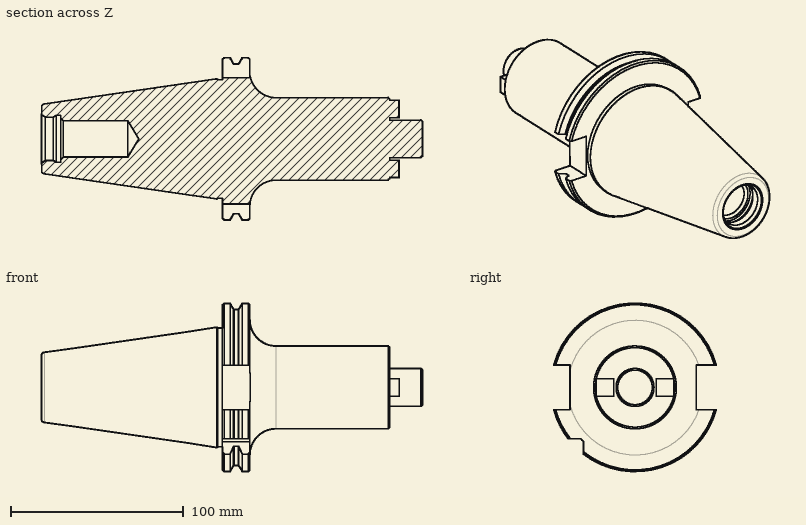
import cadquery as cq
import math


GAUGE_RADIUS = 69.85 / 2
TAPER_LENGTH = 101.6
TAPER_SLOPE = 7 / 48
TIP_RADIUS = GAUGE_RADIUS - TAPER_SLOPE * TAPER_LENGTH
TIP_FILLET = 2.0

NECK_RADIUS = 34.5
NECK_STEP = 0.5

FLANGE_START = 3.2
FLANGE_END = 19.1
FLANGE_RADIUS = 97.5 / 2
FLANGE_CHAMFER = 1.0
GROOVE_CENTER = 11.1
GROOVE_OPENING = 7.0
GROOVE_DEPTH = 3.5
GROOVE_FLANK_ANGLE = 30
GROOVE_FILLET = 0.5

SLOT_WIDTH = 25.7
SLOT_DEEP_FLOOR = 35.5
SLOT_SHALLOW_FLOOR = 37.7
NOTCH_OFFSET = 29.8
NOTCH_CHAMFER = 1.6

BODY_RADIUS = 24.0
BODY_FILLET = 15.0
BODY_END = 100.0
BODY_CHAMFER = 1.0
PILOT_RADIUS = 11.0
PILOT_LENGTH = 19.0
PILOT_CHAMFER = 1.0
KEY_WIDTH = 10.0
KEY_HEIGHT = 5.4
KEY_INNER = 12.2
KEY_OUTER = 22.4

MOUTH_RADIUS = 14.3
PROTECTED_CENTER_RADIUS = 13.7
PROTECTION_ANGLE = 120
CENTER_ANGLE = 60
BORE_RADIUS = 12.5
BORE_END = 7.0
RELIEF_RADIUS = 13.5
RELIEF_FLARE_ANGLE = 30
RELIEF_END = 11.2
THREAD_RADIUS = 12.0
THREAD_CHAMFER_ANGLE = 90
CORE_RADIUS = 10.4
CORE_END = 50.0
DRILL_POINT_ANGLE = 118


def revolve_about_x(profile):
    return profile.close().revolve(360, (0, 0, 0), (1, 0, 0))


def make_turned_body():
    pilot_end = BODY_END + PILOT_LENGTH
    diagonal = BODY_FILLET * math.sqrt(0.5)
    fillet_x = FLANGE_END + BODY_FILLET
    fillet_r = BODY_RADIUS + BODY_FILLET
    profile = (
        cq.Workplane("XY")
        .moveTo(-TAPER_LENGTH, 0)
        .lineTo(-TAPER_LENGTH, TIP_RADIUS)
        .lineTo(0, GAUGE_RADIUS)
        .lineTo(NECK_STEP, NECK_RADIUS)
        .lineTo(FLANGE_START, NECK_RADIUS)
        .lineTo(FLANGE_START, FLANGE_RADIUS - FLANGE_CHAMFER)
        .lineTo(FLANGE_START + FLANGE_CHAMFER, FLANGE_RADIUS)
        .lineTo(FLANGE_END - FLANGE_CHAMFER, FLANGE_RADIUS)
        .lineTo(FLANGE_END, FLANGE_RADIUS - FLANGE_CHAMFER)
        .lineTo(FLANGE_END, fillet_r)
        .threePointArc((fillet_x - diagonal, fillet_r - diagonal), (fillet_x, BODY_RADIUS))
        .lineTo(BODY_END - BODY_CHAMFER, BODY_RADIUS)
        .lineTo(BODY_END, BODY_RADIUS - BODY_CHAMFER)
        .lineTo(BODY_END, PILOT_RADIUS)
        .lineTo(pilot_end - PILOT_CHAMFER, PILOT_RADIUS)
        .lineTo(pilot_end, PILOT_RADIUS - PILOT_CHAMFER)
        .lineTo(pilot_end, 0)
    )
    return revolve_about_x(profile).faces("<X").edges().fillet(TIP_FILLET)


def make_gripper_groove():
    half_opening = GROOVE_OPENING / 2
    half_floor = half_opening - GROOVE_DEPTH * math.tan(math.radians(GROOVE_FLANK_ANGLE))
    floor_radius = FLANGE_RADIUS - GROOVE_DEPTH
    profile = (
        cq.Workplane("XY")
        .moveTo(GROOVE_CENTER - half_opening, FLANGE_RADIUS)
        .lineTo(GROOVE_CENTER - half_floor, floor_radius)
        .lineTo(GROOVE_CENTER + half_floor, floor_radius)
        .lineTo(GROOVE_CENTER + half_opening, FLANGE_RADIUS)
    )
    smallest_circles = cq.selectors.RadiusNthSelector(0)
    return revolve_about_x(profile).edges(smallest_circles).fillet(GROOVE_FILLET)


def cone_length(radius_change, included_angle):
    return radius_change / math.tan(math.radians(included_angle / 2))


def make_drawbar_bore():
    protection_end = cone_length(MOUTH_RADIUS - PROTECTED_CENTER_RADIUS, PROTECTION_ANGLE)
    center_end = protection_end + cone_length(PROTECTED_CENTER_RADIUS - BORE_RADIUS, CENTER_ANGLE)
    flare_end = BORE_END + cone_length(RELIEF_RADIUS - BORE_RADIUS, 2 * RELIEF_FLARE_ANGLE)
    core_start = RELIEF_END + cone_length(THREAD_RADIUS - CORE_RADIUS, THREAD_CHAMFER_ANGLE)
    point_end = CORE_END + cone_length(CORE_RADIUS, DRILL_POINT_ANGLE)
    profile = (
        cq.Workplane("XY")
        .lineTo(0, MOUTH_RADIUS)
        .lineTo(protection_end, PROTECTED_CENTER_RADIUS)
        .lineTo(center_end, BORE_RADIUS)
        .lineTo(BORE_END, BORE_RADIUS)
        .lineTo(flare_end, RELIEF_RADIUS)
        .lineTo(RELIEF_END, RELIEF_RADIUS)
        .lineTo(RELIEF_END, THREAD_RADIUS)
        .lineTo(core_start, CORE_RADIUS)
        .lineTo(CORE_END, CORE_RADIUS)
        .lineTo(point_end, 0)
    )
    return revolve_about_x(profile).translate((-TAPER_LENGTH, 0, 0))


def box_between(x_range, y_range, z_range):
    ranges = (x_range, y_range, z_range)
    lengths = [high - low for low, high in ranges]
    return (
        cq.Workplane("XY")
        .box(*lengths, centered=False)
        .translate(tuple(low for low, high in ranges))
    )


def make_driving_slots():
    length = (FLANGE_START, FLANGE_END + BODY_FILLET)
    height = (-SLOT_WIDTH / 2, SLOT_WIDTH / 2)
    deep = box_between(length, (SLOT_DEEP_FLOOR, FLANGE_RADIUS), height)
    shallow = box_between(length, (-FLANGE_RADIUS, -SLOT_SHALLOW_FLOOR), height)
    return deep.union(shallow)


def make_orientation_notch():
    outward = (-FLANGE_RADIUS, -NOTCH_OFFSET)
    notch = box_between((FLANGE_START, FLANGE_END), outward, outward)
    return notch.edges("|X and >Y and >Z").chamfer(NOTCH_CHAMFER)


def make_driving_keys():
    length = (BODY_END - BODY_CHAMFER, BODY_END + KEY_HEIGHT)
    width = (-KEY_WIDTH / 2, KEY_WIDTH / 2)
    key = box_between(length, (KEY_INNER, KEY_OUTER), width)
    return key.union(key.mirror("XZ"))


result = (
    make_turned_body()
    .cut(make_gripper_groove())
    .cut(make_drawbar_bore())
    .cut(make_driving_slots())
    .cut(make_orientation_notch())
    .union(make_driving_keys())
)